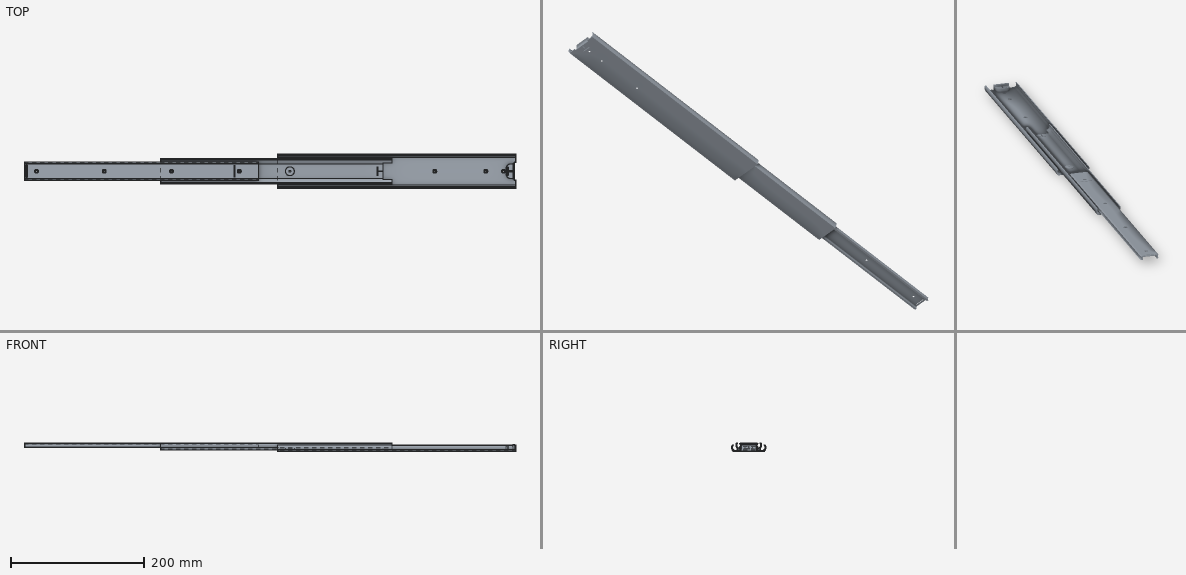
import cadquery as cq
import math

slide_length = 737.5
slide_width = 52.0
slide_height = 12.5
sheet = 1.5
cut_margin = 7.5
race_radius = 7.0
hole_diameter = 3.0
counterbore_diameter = 6.0
counterbore_depth = 1.0
slit_width = 1.5

outer_start = 380.0
outer_half = slide_width / 2
outer_height = 9.5
outer_base_half = 23.5
outer_floor_half = 21.0
outer_race_bottom = 3.0
outer_crown = 6.0
outer_hole_places = (616.0, 692.5)
outer_notch_depth = 2.0
outer_notch_half = 13.0
outer_web_end = slide_length - outer_notch_depth

stop_tab_half = 12.0
stop_tab_height = 10.0
stop_tab_start = outer_web_end - 2.0
stop_pad_start = 723.0
stop_pad_half = 11.0
stop_pad_height = 7.5
stop_pad_round = 7.5
stop_slit_place = 726.0
stop_slit_length = 12.0
stop_hole_place = 719.0

middle_start = 204.0
middle_end = 552.0
middle_half = 19.0
middle_base = 1.85
middle_base_half = 17.0
middle_floor_half = 11.0
middle_race_bottom = 6.0
middle_crown = 9.5
middle_web_end = 538.5
middle_notch_half = 12.5
middle_slit_place = 529.5
middle_slit_length = 12.5

rivet_place = 398.0
rivet_diameter = 13.0
rivet_height = 1.0

inner_end = 351.0
inner_half = 14.0
inner_hollow_half = 11.0
inner_base = 6.3
inner_face_half = 12.0
inner_edge_drop = 1.0
inner_groove_depth = 1.5
inner_hole_places = (18.0, 119.5, 220.5, 322.0)
inner_slit_places = (3.0, 315.0)
inner_slit_length = 18.0


def mirrored(points):
    """The same section points on the -Y side, in reverse order."""
    return [(-y, z) for y, z in reversed(points)]


def shifted(points, distance):
    """The same section points moved towards the middle plane."""
    return [(y - distance, z) for y, z in points]


def block(start, end, half_width, bottom, top):
    """Box that straddles the middle plane."""
    size = (end - start, 2 * half_width, top - bottom)
    return cq.Workplane("XY").box(*size, centered=(False, True, False)).translate((start, 0, bottom))


def through_block(start, end, half_width):
    """Cutter that passes through the whole height of the slide."""
    return block(start, end, half_width, -cut_margin, slide_height + cut_margin)


def cross_slit(place, length):
    """Cutter for a narrow slit across the slide."""
    return through_block(place - slit_width / 2, place + slit_width / 2, length / 2)


def t_slit(place, length, end):
    """Cutter for a cross slit with a lengthwise slit running from it to `end`."""
    return cross_slit(place, length).union(through_block(place, end, slit_width / 2))


def counterbored_holes(places, face):
    """Cutters for a row of screw holes counterbored from height `face`."""
    spots = [(place, 0) for place in places]
    plane = cq.Workplane("XY", origin=(0, 0, face)).pushPoints(spots)
    bores = plane.circle(hole_diameter / 2).extrude(-slide_height)
    return bores.union(plane.circle(counterbore_diameter / 2).extrude(-counterbore_depth))


def race_channel(start, end, half_width, base_half, floor_half, base, race_bottom, crown, top):
    """Sheet channel opening upwards, whose side walls bulge outwards into ball races."""

    def race_point(z):
        return half_width - race_radius + math.sqrt(race_radius**2 - (z - crown) ** 2), z

    race = [race_point(race_bottom), race_point(crown), race_point(top)]
    inner_race = shifted(race, sheet)
    left_race = mirrored(race)
    left_inner_race = mirrored(inner_race)
    section = (
        cq.Workplane("YZ", origin=(start, 0, 0))
        .moveTo(base_half, base)
        .lineTo(*race[0])
        .threePointArc(race[1], race[2])
        .lineTo(*inner_race[2])
        .threePointArc(inner_race[1], inner_race[0])
        .lineTo(floor_half, base + sheet)
        .lineTo(-floor_half, base + sheet)
        .lineTo(*left_inner_race[2])
        .threePointArc(left_inner_race[1], left_inner_race[0])
        .lineTo(*left_race[0])
        .threePointArc(left_race[1], left_race[2])
        .lineTo(-base_half, base)
        .close()
    )
    return section.extrude(end - start)


def make_outer_rail():
    rail = race_channel(
        outer_start, slide_length, outer_half, outer_base_half, outer_floor_half,
        0, outer_race_bottom, outer_crown, outer_height,
    )
    rail = rail.cut(through_block(outer_web_end, slide_length + cut_margin, outer_notch_half))
    stop_tab = block(stop_tab_start, outer_web_end, stop_tab_half, 0, stop_tab_height)
    stop_pad = block(stop_pad_start, stop_tab_start, stop_pad_half, 0, stop_pad_height)
    stop_pad = stop_pad.edges("|Z and <X").fillet(stop_pad_round)
    rail = rail.union(stop_pad).union(stop_tab)
    rail = rail.cut(t_slit(stop_slit_place, stop_slit_length, stop_tab_start))
    return rail.cut(counterbored_holes((*outer_hole_places, stop_hole_place), sheet))


def make_middle_rail():
    rail = race_channel(
        middle_start, middle_end, middle_half, middle_base_half, middle_floor_half,
        middle_base, middle_race_bottom, middle_crown, slide_height,
    )
    rail = rail.cut(through_block(middle_web_end, middle_end + cut_margin, middle_notch_half))
    rail = rail.cut(t_slit(middle_slit_place, middle_slit_length, middle_web_end))
    rivet_plane = cq.Workplane("XY", origin=(rivet_place, 0, middle_base))
    head_top = sheet + rivet_height
    rail = rail.union(rivet_plane.circle(rivet_diameter / 2).extrude(head_top))
    return rail.cut(rivet_plane.circle(hole_diameter / 2).extrude(head_top))


def make_inner_rail():
    """Channel opening downwards, with a ball groove along the outside of each flange."""
    shoulder = slide_height - inner_edge_drop
    groove = [
        (inner_half, shoulder),
        (inner_half - inner_groove_depth, (shoulder + inner_base) / 2),
        (inner_half, inner_base),
    ]
    left_groove = mirrored(groove)
    section = (
        cq.Workplane("YZ")
        .moveTo(-inner_face_half, slide_height)
        .lineTo(inner_face_half, slide_height)
        .lineTo(*groove[0])
        .threePointArc(groove[1], groove[2])
        .lineTo(-inner_half, inner_base)
        .threePointArc(left_groove[1], left_groove[2])
        .close()
    )
    hollow = block(
        -cut_margin, inner_end + cut_margin, inner_hollow_half,
        inner_base - cut_margin, slide_height - sheet,
    )
    rail = section.extrude(inner_end).cut(hollow)
    for place in inner_slit_places:
        rail = rail.cut(cross_slit(place, inner_slit_length))
    return rail.cut(counterbored_holes(inner_hole_places, slide_height))


outer_rail = make_outer_rail()
middle_rail = make_middle_rail()
inner_rail = make_inner_rail()

result = cq.Compound.makeCompound([rail.solids().val() for rail in (outer_rail, middle_rail, inner_rail)])